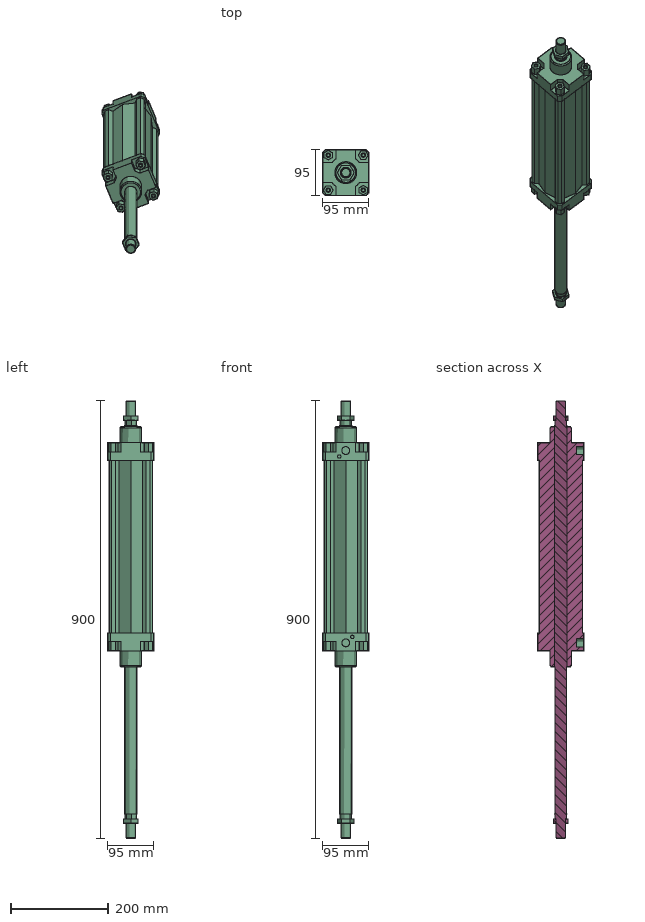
import cadquery as cq
import math


stroke = 300.0
dead_length = 128.0
housing_length = dead_length + stroke
cap_width = 95.0
cap_height = 36.7
cap_corner_chamfer = 6.0
collar_diameter = 45.0
collar_height = 33.0
collar_chamfer = 2.5

barrel_width = 89.5
barrel_corner_chamfer = 5.5
lobe_inner_edge = 31.0
wall_half_width = 24.5
groove_depth = 6.6

pocket_depth = 19.0
arm_width = 41.0
pocket_inner_chamfer = 8.0
screw_spacing = 72.0
screw_head_flats = 17.0
screw_hole_diameter = 6.5
screw_hole_depth = 15.0
screw_hole_chamfer = 1.25

port_diameter = 16.0
port_depth = 15.0
port_inset = 16.2
cushion_hole_diameter = 7.0
cushion_hole_depth = 10.0
cushion_offset = 13.5
cushion_inset = 28.5

rod_diameter = 25.0
thread_diameter = 20.0
thread_length = 40.0
thread_chamfer = 1.5
shoulder_projection = 46.0
wrench_flats = 22.0
wrench_neck_diameter = 24.5
wrench_length = 10.5
wrench_angle = 20.0
nut_flats = 30.0
nut_thickness = 9.0
nut_bore_chamfer = 1.0

end_face = housing_length / 2
barrel_end = end_face - cap_height
upper_shoulder = end_face + shoulder_projection
lower_shoulder = -upper_shoulder - stroke


def hexagon_diameter(across_flats):
    """Corner-to-corner size of a hexagon."""
    return across_flats / math.cos(math.pi / 6)


def cylinder(diameter, bottom, top):
    return cq.Workplane("XY", origin=(0, 0, bottom)).circle(diameter / 2).extrude(top - bottom)


def quarter_turns(x, y, count):
    """Point turned about the Z axis by a number of quarter turns."""
    for _ in range(count):
        x, y = -y, x
    return (x, y)


def make_barrel():
    half = barrel_width / 2
    lobe_corner = half - barrel_corner_chamfer
    groove_floor = half - groove_depth
    side = [
        (-lobe_corner, -half),
        (-lobe_inner_edge, -half),
        (-wall_half_width, -groove_floor),
        (0, -half),
        (wall_half_width, -groove_floor),
        (lobe_inner_edge, -half),
        (lobe_corner, -half),
    ]
    outline = [quarter_turns(x, y, count) for count in range(4) for x, y in side]
    return cq.Workplane("XY").polyline(outline).close().extrude(barrel_end, both=True)


def make_corner_pocket():
    """Pocket cutter at the +X +Y corner, sparing a drilled screw head."""
    floor = end_face - pocket_depth
    inner = arm_width / 2
    outer = cap_width / 2
    screw_center = screw_spacing / 2
    pocket = (
        cq.Workplane("XY", origin=(0, 0, floor))
        .moveTo(inner + pocket_inner_chamfer, inner)
        .lineTo(outer, inner)
        .lineTo(outer, outer)
        .lineTo(inner, outer)
        .lineTo(inner, inner + pocket_inner_chamfer)
        .close()
        .extrude(pocket_depth)
    )
    head = (
        cq.Workplane("XY")
        .polygon(6, hexagon_diameter(screw_head_flats))
        .extrude(pocket_depth)
        .faces(">Z")
        .workplane()
        .hole(screw_hole_diameter, screw_hole_depth)
        .faces(">Z")
        .edges("%CIRCLE")
        .chamfer(screw_hole_chamfer)
    )
    return pocket.cut(head.translate((screw_center, screw_center, floor)))


def make_front_hole(x, z, diameter, depth):
    """Hole cutter going in from the -Y side."""
    return (
        cq.Workplane("XZ", origin=(x, -cap_width / 2 + depth, z))
        .circle(diameter / 2)
        .extrude(depth)
    )


def make_upper_cap(cushion_x):
    """Cap and collar at the +Z end, with the cushion screw hole at the given X."""
    cap = (
        cq.Workplane("XY", origin=(0, 0, barrel_end))
        .rect(cap_width, cap_width)
        .extrude(cap_height)
        .edges("|Z")
        .chamfer(cap_corner_chamfer)
    )
    pocket = make_corner_pocket()
    for quarter in range(4):
        cap = cap.cut(pocket.rotate((0, 0, 0), (0, 0, 1), 90 * quarter))
    port = make_front_hole(0, end_face - port_inset, port_diameter, port_depth)
    cushion_hole = make_front_hole(
        cushion_x, end_face - cushion_inset, cushion_hole_diameter, cushion_hole_depth
    )
    collar = cylinder(collar_diameter, end_face, end_face + collar_height)
    collar = collar.faces(">Z").chamfer(collar_chamfer)
    return cap.cut(port).cut(cushion_hole).union(collar)


def make_housing():
    upper_cap = make_upper_cap(-cushion_offset)
    lower_cap = make_upper_cap(cushion_offset).mirror("XY")
    rod_bore = cylinder(rod_diameter, -end_face - collar_height, end_face + collar_height)
    return make_barrel().union(upper_cap).union(lower_cap).cut(rod_bore)


def make_wrench_cutter(bottom):
    """Ring that leaves a slightly thinner neck with two wrench flats on the rod."""
    blank = cylinder(2 * rod_diameter, bottom, bottom + wrench_length)
    neck = cylinder(wrench_neck_diameter, bottom, bottom + wrench_length)
    flats = (
        cq.Workplane("XY", origin=(0, 0, bottom))
        .rect(wrench_flats, 2 * rod_diameter)
        .extrude(wrench_length)
        .rotate((0, 0, 0), (0, 0, 1), -wrench_angle)
    )
    return blank.cut(neck.intersect(flats))


def make_rod():
    shaft = cylinder(rod_diameter, lower_shoulder, upper_shoulder)
    for bottom in (lower_shoulder, upper_shoulder - wrench_length):
        shaft = shaft.cut(make_wrench_cutter(bottom))
    thread = cylinder(thread_diameter, lower_shoulder - thread_length, upper_shoulder + thread_length)
    thread = thread.faces("<Z or >Z").chamfer(thread_chamfer)
    return shaft.union(thread)


def make_nut(bottom):
    return (
        cq.Workplane("XY", origin=(0, 0, bottom))
        .polygon(6, hexagon_diameter(nut_flats))
        .circle(thread_diameter / 2)
        .extrude(nut_thickness)
        .edges("%CIRCLE")
        .chamfer(nut_bore_chamfer)
    )


housing = make_housing()
rod = make_rod()
nuts = [make_nut(bottom) for bottom in (upper_shoulder, lower_shoulder - nut_thickness)]

result = cq.Compound.makeCompound([housing.val(), rod.val(), *[nut.val() for nut in nuts]])